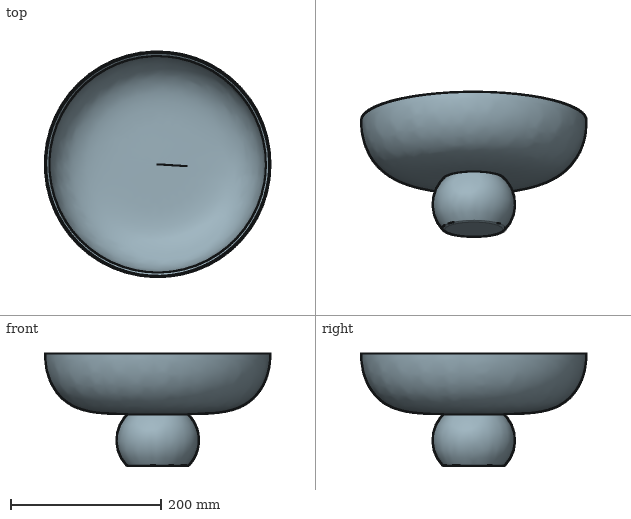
import cadquery as cq
import math

total_height = 149.88
rim_radius = 150.0

foot_height = 69.0
foot_radius = 55.0
foot_end_radius = 40.5
foot_edge_radius = 5.0

shoulder_radius = 128.0
shoulder_z = foot_height + 22.0
wall_thickness = 6.0
rim_chamfer = 4.3


def make_foot():
    profile = (
        cq.Workplane("XZ")
        .lineTo(foot_end_radius, 0)
        .threePointArc((foot_radius, foot_height / 2), (foot_end_radius, foot_height))
        .lineTo(0, foot_height)
        .close()
    )
    foot = profile.revolve(360, (0, 0, 0), (0, 1, 0))
    return foot.faces("<Z").edges().fillet(foot_edge_radius)


def make_bowl():
    shoulder_offset = wall_thickness * math.sqrt(0.5)
    outer_shoulder = (shoulder_radius, shoulder_z)
    inner_shoulder = (shoulder_radius - shoulder_offset, shoulder_z + shoulder_offset)
    outward = (1, 0)
    inward = (-1, 0)
    upward = (0, 1)
    downward = (0, -1)

    profile = (
        cq.Workplane("XZ")
        .moveTo(0, foot_height)
        .lineTo(foot_end_radius, foot_height)
        .spline(
            [outer_shoulder, (rim_radius, total_height)],
            tangents=[outward, upward],
            includeCurrent=True,
        )
        .lineTo(rim_radius - wall_thickness, total_height)
        .spline(
            [inner_shoulder, (0, foot_height + wall_thickness)],
            tangents=[downward, inward],
            includeCurrent=True,
        )
        .close()
    )
    bowl = profile.revolve(360, (0, 0, 0), (0, 1, 0))
    inner_rim_edge = bowl.faces(">Z").edges(cq.selectors.RadiusNthSelector(0))
    return inner_rim_edge.chamfer(rim_chamfer)


foot = make_foot()
bowl = make_bowl()
result = cq.Compound.makeCompound([foot.val(), bowl.val()])